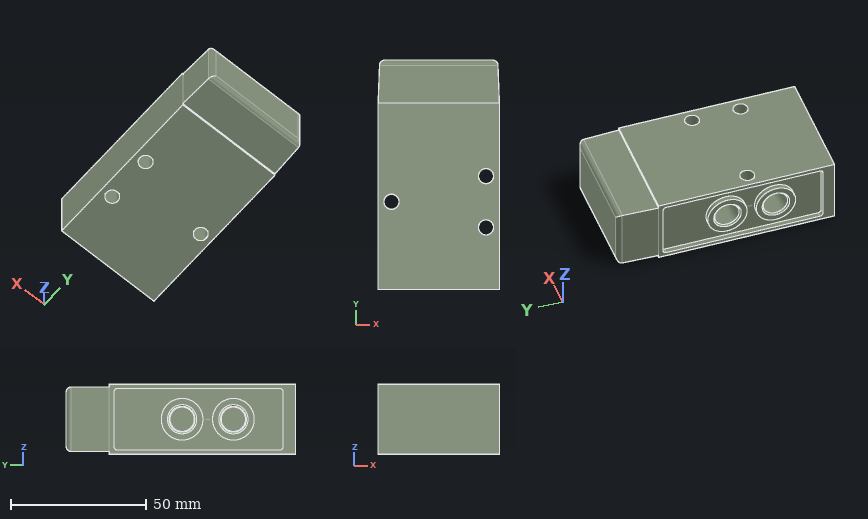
import cadquery as cq

BODY_WIDTH = 45.0
BODY_LENGTH = 69.0
BODY_HEIGHT = 26.0

CAP_LENGTH = 16.0
CAP_HEIGHT = 24.0
CAP_END_WIDTH = 43.8
CAP_EDGE_RADIUS = 2.0

RECESS_FRONT_MARGIN = 4.6
RECESS_BACK_MARGIN = 1.8
RECESS_SIDE_MARGIN = 1.6
RECESS_CORNER_RADIUS = 1.2
RECESS_DEPTH = 2.0

PORT_CENTRES_Y = (23.0, 42.0)
PORT_BOSS_DIAMETER = 15.43
PORT_BORE_DIAMETER = 9.6
PORT_MOUTH_DIAMETER = 10.8
PORT_BORE_TAPER = 1 / 16
PORT_DEPTH = 10.0

MOUNT_HOLE_DIAMETER = 5.5
MOUNT_HOLE_X = 17.5

PORT_FACE_X = -BODY_WIDTH / 2


def make_body():
    """Rectangular valve body."""
    body = cq.Workplane("XY").box(BODY_WIDTH, BODY_LENGTH, BODY_HEIGHT)
    return body.translate((0, BODY_LENGTH / 2, 0))


def make_cap():
    """End cap that narrows in X towards its rounded far end."""
    end_y = BODY_LENGTH + CAP_LENGTH
    outline = [
        (-BODY_WIDTH / 2, BODY_LENGTH),
        (BODY_WIDTH / 2, BODY_LENGTH),
        (CAP_END_WIDTH / 2, end_y),
        (-CAP_END_WIDTH / 2, end_y),
    ]
    cap = cq.Workplane("XY").polyline(outline).close().extrude(CAP_HEIGHT / 2, both=True)
    return cap.faces(">Y").edges().fillet(CAP_EDGE_RADIUS)


def make_recess():
    """Rounded rectangular pocket volume."""
    length = BODY_LENGTH - RECESS_FRONT_MARGIN - RECESS_BACK_MARGIN
    height = BODY_HEIGHT - 2 * RECESS_SIDE_MARGIN
    recess = cq.Workplane("XY").box(RECESS_DEPTH, length, height).edges("|X").fillet(RECESS_CORNER_RADIUS)
    return recess.translate((PORT_FACE_X + RECESS_DEPTH / 2, RECESS_FRONT_MARGIN + length / 2, 0))


def port_boss(y):
    """Round boss standing on the recess floor, flush with the -X face."""
    return cq.Workplane("YZ", origin=(PORT_FACE_X, y, 0)).circle(PORT_BOSS_DIAMETER / 2).extrude(RECESS_DEPTH)


def port_bore(y):
    """Blind bore with a chamfered mouth, narrowing slightly towards its flat bottom."""
    mouth_radius = PORT_MOUTH_DIAMETER / 2
    bore_radius = PORT_BORE_DIAMETER / 2
    mouth_depth = mouth_radius - bore_radius
    bottom_radius = bore_radius - (PORT_DEPTH - mouth_depth) * PORT_BORE_TAPER / 2
    half_section = [
        (0, 0),
        (0, mouth_radius),
        (mouth_depth, bore_radius),
        (PORT_DEPTH, bottom_radius),
        (PORT_DEPTH, 0),
    ]
    section = cq.Workplane("XY", origin=(PORT_FACE_X, y, 0)).polyline(half_section).close()
    return section.revolve(360, (0, 0, 0), (1, 0, 0))


def mounting_holes():
    """One through hole on the port side midway between the ports, two on the far side in line with them."""
    middle_y = sum(PORT_CENTRES_Y) / len(PORT_CENTRES_Y)
    centres = [(-MOUNT_HOLE_X, middle_y)] + [(MOUNT_HOLE_X, y) for y in PORT_CENTRES_Y]
    holes = cq.Workplane("XY").pushPoints(centres).circle(MOUNT_HOLE_DIAMETER / 2)
    return holes.extrude(BODY_HEIGHT, both=True)


result = make_body().cut(make_recess()).union(make_cap())
for port_y in PORT_CENTRES_Y:
    result = result.union(port_boss(port_y)).cut(port_bore(port_y))
result = result.cut(mounting_holes())